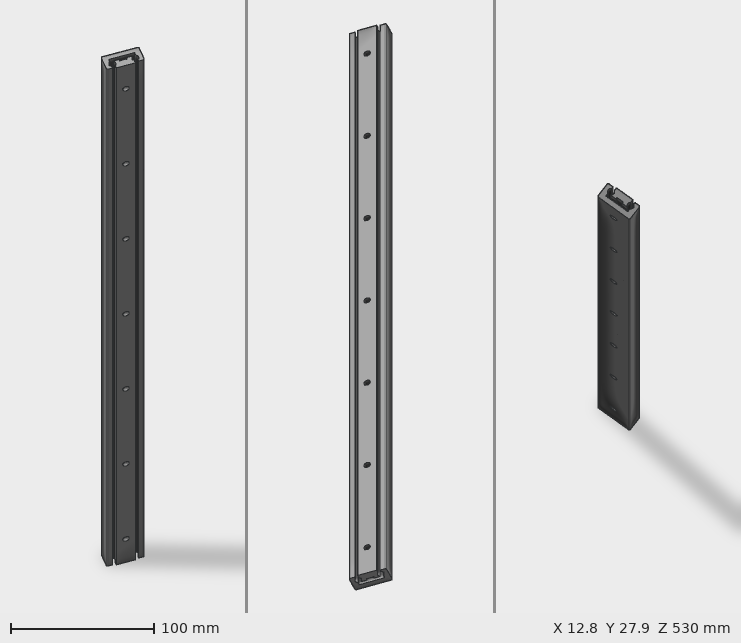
import cadquery as cq
length = 530.0

outer_depth = 12.0
back_thickness = 3.9
channel_height = 19.0
flange_thickness = 4.45
corner_radius = 1.0

inner_height = 14.5
back_gap = 2.4
front_overhang = 0.8
recess_width = 5.5
recess_depth = 1.2

ball_radius = 2.4
ball_x = 8.5
ball_y = 8.5

hole_count = 7
hole_pitch = 80.0
outer_hole_diameter = 6.0
inner_hole_diameter = 4.6

outer_height = channel_height + 2 * flange_thickness
inner_back_x = back_thickness + back_gap
front_x = outer_depth + front_overhang


def bar(x_start, x_end, height):
    """A full-length rectangular bar centred on Y = 0."""
    return (
        cq.Workplane("XY")
        .box(x_end - x_start, height, length, centered=(False, True, False))
        .translate((x_start, 0, 0))
    )


def raceways():
    """Two round bars along Z that fill the paths of the balls."""
    return (
        cq.Workplane("XY")
        .pushPoints([(ball_x, -ball_y), (ball_x, ball_y)])
        .circle(ball_radius)
        .extrude(length)
    )


def mounting_holes(diameter):
    """Round bars along X for the row of holes, centred on the rail's length."""
    row_start = (length - (hole_count - 1) * hole_pitch) / 2
    centres = [(0, row_start + i * hole_pitch) for i in range(hole_count)]
    return cq.Workplane("YZ").pushPoints(centres).circle(diameter / 2).extrude(front_x)


def make_outer_rail():
    """C-section with rounded outer corners, open towards +X."""
    rail = bar(0, outer_depth, outer_height).edges("|Z").fillet(corner_radius)
    channel = bar(back_thickness, outer_depth, channel_height)
    return rail.cut(channel).cut(raceways()).cut(mounting_holes(outer_hole_diameter))


def make_inner_rail():
    """Bar with a raceway in each side and a shallow recess along its back."""
    rail = bar(inner_back_x, front_x, inner_height)
    recess = bar(inner_back_x, inner_back_x + recess_depth, recess_width)
    return rail.cut(recess).cut(raceways()).cut(mounting_holes(inner_hole_diameter))


outer_rail = make_outer_rail()
inner_rail = make_inner_rail()

result = cq.Compound.makeCompound([outer_rail.val(), inner_rail.val()])